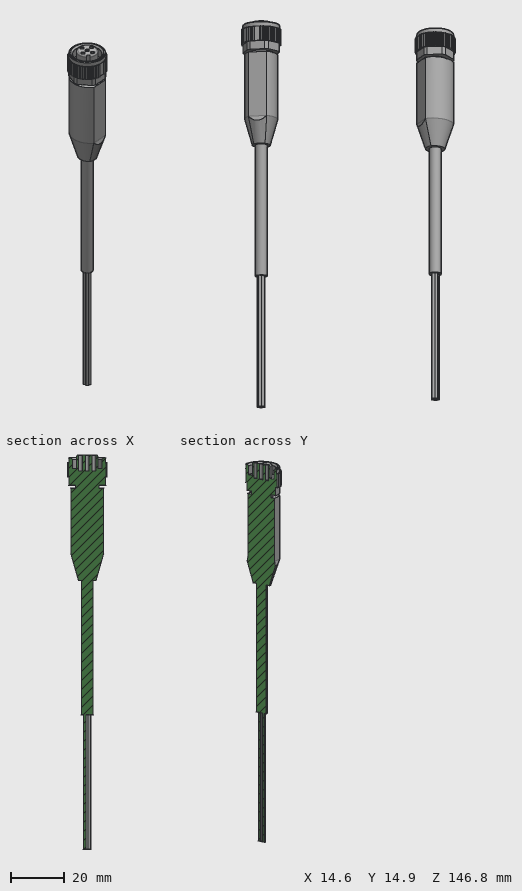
import cadquery as cq
import math


Z_NUT_TOP = -0.95
Z_KNURL_TOP = -2.85
Z_KNURL_BOTTOM = -8.25
Z_NUT_BOTTOM = -11.4
Z_BODY_TOP = -12.4
Z_BOOT_TOP = -36.9
Z_LEDGE_BOTTOM = -38.6
Z_BOOT_BOTTOM = -46.8
CABLE_LENGTH = 50.0
WIRE_LENGTH = 50.0
Z_CABLE_BOTTOM = Z_BOOT_BOTTOM - CABLE_LENGTH
Z_WIRE_BOTTOM = Z_CABLE_BOTTOM - WIRE_LENGTH

INSERT_DIA = 8.05
INSERT_FILLET = 0.6
CONTACT_DIA = 1.15
CONTACT_MOUTH_DIA = 1.5
CONTACT_DEPTH = 6.0
CONTACT_CIRCLE_RADIUS = 2.5
RING_CONTACT_COUNT = 4
KEYWAY_DIA = 1.3
KEYWAY_ANGLE = math.radians(-45)

NUT_DIA = 13.8
NUT_BORE_DIA = 10.92
NUT_MOUTH_DIA = 12.3
NUT_RIM_CHAMFER = 0.3
Z_BORE_FLOOR = -5.0
HEX_SIDES = 6
HEX_ACROSS_FLATS = 12.6
RIDGE_TIP_RADIUS = 7.445
RIDGE_TIP_WIDTH = 0.15
RIDGE_ROOT_RADIUS = 7.15
FLAT_EDGE_RADIUS = 6.98
RIDGE_COUNT = 48

NECK_DIA = 8.85

BODY_DEPTH = 12.3
BODY_OUTLINE = (NUT_DIA / 2, BODY_DEPTH / 2, 3.5)
BOOT_END_OUTLINE = (3.65, 3.35, 2.15)
LEDGE_RISE = 0.35

CABLE_DIA = 4.5
WIRE_DIA = 1.15
WIRE_COUNT = 5
WIRE_INSERTION = 1.0
WIRE_OVERLAP = 0.02


def cylinder(diameter, z_top, z_bottom):
    return cq.Workplane("XY").workplane(offset=z_bottom).circle(diameter / 2).extrude(z_top - z_bottom)


def polar_point(radius, angle):
    return (radius * math.cos(angle), radius * math.sin(angle))


def corner_x(outline):
    side_radius, _, corner_y = outline
    return math.sqrt(side_radius**2 - corner_y**2)


def draw_outline(plane, outline):
    """Four arcs: X sides centred on the axis, flatter Y sides, meeting at corners."""
    side_radius, half_depth, corner_y = outline
    x = corner_x(outline)
    return (
        plane.moveTo(x, -corner_y)
        .threePointArc((side_radius, 0), (x, corner_y))
        .threePointArc((0, half_depth), (-x, corner_y))
        .threePointArc((-side_radius, 0), (-x, -corner_y))
        .threePointArc((0, -half_depth), (x, -corner_y))
        .close()
    )


def make_body():
    """Moulded grip and the boot tapering to the cable, with a flat on each X side."""
    body_plane = cq.Workplane("XY").workplane(offset=Z_BOOT_TOP)
    body = draw_outline(body_plane, BODY_OUTLINE).extrude(Z_BODY_TOP - Z_BOOT_TOP)
    boot_start = draw_outline(cq.Workplane("XY").workplane(offset=Z_BOOT_TOP), BODY_OUTLINE)
    boot_end = boot_start.workplane(offset=Z_BOOT_BOTTOM - Z_BOOT_TOP)
    boot = draw_outline(boot_end, BOOT_END_OUTLINE).loft(ruled=True)
    body = body.union(boot)

    flat_x = corner_x(BODY_OUTLINE)
    ledge_x = flat_x + LEDGE_RISE
    outer_x = BODY_OUTLINE[0] + LEDGE_RISE
    flat_cut = (
        cq.Workplane("XZ")
        .moveTo(flat_x, Z_BODY_TOP)
        .lineTo(outer_x, Z_BODY_TOP)
        .lineTo(outer_x, Z_LEDGE_BOTTOM)
        .lineTo(ledge_x, Z_LEDGE_BOTTOM)
        .lineTo(flat_x, Z_BOOT_TOP)
        .close()
        .extrude(BODY_OUTLINE[0], both=True)
    )
    return body.cut(flat_cut).cut(flat_cut.mirror("YZ"))


def ridge_tip(angle):
    """Both edges of a ridge's narrow flat tip."""
    half_tip_angle = RIDGE_TIP_WIDTH / 2 / RIDGE_TIP_RADIUS
    return [
        polar_point(RIDGE_TIP_RADIUS, angle - half_tip_angle),
        polar_point(RIDGE_TIP_RADIUS, angle + half_tip_angle),
    ]


def make_knurl():
    """Ring of ridges; flats replace the two ridges nearest +X and the two nearest -X."""
    pitch = 2 * math.pi / RIDGE_COUNT
    ridges_per_side = RIDGE_COUNT // 2 - 2
    points = []
    for flat_angle in (0, math.pi):
        first_root = flat_angle + pitch
        for index in range(ridges_per_side):
            root_radius = FLAT_EDGE_RADIUS if index == 0 else RIDGE_ROOT_RADIUS
            points.append(polar_point(root_radius, first_root + index * pitch))
            points += ridge_tip(first_root + (index + 0.5) * pitch)
        points.append(polar_point(FLAT_EDGE_RADIUS, first_root + ridges_per_side * pitch))
    knurl_plane = cq.Workplane("XY").workplane(offset=Z_KNURL_BOTTOM)
    return knurl_plane.polyline(points).close().extrude(Z_KNURL_TOP - Z_KNURL_BOTTOM)


def make_nut():
    """Knurled coupling nut with a wrench hexagon below and an open bore on top."""
    nut = cylinder(NUT_DIA, Z_NUT_TOP, Z_KNURL_BOTTOM)
    nut = nut.faces(">Z").edges().chamfer(NUT_RIM_CHAMFER)
    hex_corner_dia = HEX_ACROSS_FLATS / math.cos(math.pi / HEX_SIDES)
    hexagon = (
        cq.Workplane("XY")
        .workplane(offset=Z_NUT_BOTTOM)
        .transformed(rotate=(0, 0, 90))
        .polygon(HEX_SIDES, hex_corner_dia)
        .extrude(Z_KNURL_BOTTOM - Z_NUT_BOTTOM)
    )
    hexagon = hexagon.intersect(cylinder(NUT_DIA, Z_KNURL_BOTTOM, Z_NUT_BOTTOM))
    nut = nut.union(hexagon).union(make_knurl())
    nut = nut.cut(cylinder(NUT_BORE_DIA, Z_NUT_TOP, Z_BORE_FLOOR))
    mouth_edge = nut.faces(">Z").edges("%CIRCLE").edges(cq.selectors.RadiusNthSelector(0))
    return mouth_edge.chamfer((NUT_MOUTH_DIA - NUT_BORE_DIA) / 2)


def make_insert():
    """Round contact carrier rising from the bore floor, with a rounded top edge."""
    return cylinder(INSERT_DIA, 0, Z_BORE_FLOOR).faces(">Z").edges().fillet(INSERT_FILLET)


def make_contact_hole():
    """Blind hole with a countersunk mouth."""
    countersink = (CONTACT_MOUTH_DIA - CONTACT_DIA) / 2
    profile = (
        cq.Workplane("XZ")
        .lineTo(CONTACT_MOUTH_DIA / 2, 0)
        .lineTo(CONTACT_DIA / 2, -countersink)
        .lineTo(CONTACT_DIA / 2, -CONTACT_DEPTH)
        .lineTo(0, -CONTACT_DEPTH)
        .close()
    )
    return profile.revolve(360, (0, 0, 0), (0, 1, 0))


def make_contact_holes():
    """One central hole and a ring of holes around it."""
    holes = make_contact_hole()
    for index in range(RING_CONTACT_COUNT):
        x, y = polar_point(CONTACT_CIRCLE_RADIUS, 2 * math.pi * index / RING_CONTACT_COUNT)
        holes = holes.union(make_contact_hole().translate((x, y, 0)))
    return holes


def make_keyway():
    """Round groove along the edge of the insert."""
    x, y = polar_point(INSERT_DIA / 2, KEYWAY_ANGLE)
    return cylinder(KEYWAY_DIA, 0, Z_BORE_FLOOR).translate((x, y, 0))


def make_wires():
    """Ring of touching wires, one of them toward +Y."""
    circle_radius = (WIRE_DIA - WIRE_OVERLAP) / 2 / math.sin(math.pi / WIRE_COUNT)
    wires = []
    for index in range(WIRE_COUNT):
        x, y = polar_point(circle_radius, math.pi / 2 + 2 * math.pi * index / WIRE_COUNT)
        wire = cylinder(WIRE_DIA, Z_CABLE_BOTTOM + WIRE_INSERTION, Z_WIRE_BOTTOM)
        wires.append(wire.translate((x, y, 0)))
    return wires


result = make_nut().union(make_insert())
result = result.cut(make_contact_holes()).cut(make_keyway())
result = result.union(cylinder(NECK_DIA, Z_NUT_BOTTOM, Z_BODY_TOP))
result = result.union(make_body())
result = result.union(cylinder(CABLE_DIA, Z_BOOT_BOTTOM, Z_CABLE_BOTTOM))
for wire in make_wires():
    result = result.union(wire)